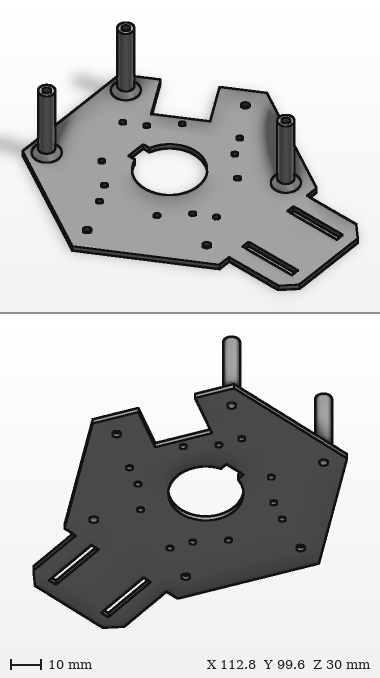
import cadquery as cq
import math

plate_thickness = 2.0
hexagon_width_y = 99.6
hexagon_radius = hexagon_width_y / 2
hexagon_apothem = hexagon_radius * math.cos(math.radians(30))

overall_length = 112.8
tab_end_x = overall_length - hexagon_apothem
tab_half_width = 20.0
tab_chamfer = 5.0
slot_end_x = tab_end_x - tab_chamfer
slot_length = slot_end_x - hexagon_apothem
slot_width = 3.0
slot_offset_y = 11.5

notch_side_angle = 30
notch_width = 20.0
notch_depth = 17.3
notch_shift = -1.1

bore_diameter = 25.0
key_reach = 14.8
key_width = 7.5

small_hole_diameter = 2.3
ring_radius = 23.0
ring_angles = [30, 60, 120, 150, 210, 240, 300, 330]
outer_small_radius = 28.1
outer_small_first_angle = 74.3

large_hole_diameter = 2.9
large_circle_radius = 40.5
large_circle_center_x = -1.5
large_hole_angles = [30, 90, 150, 210, 270, 330]
standoff_angles = [30, 150, 210]

overall_height = 30.0
standoff_diameter = 5.8
standoff_foot_diameter = 10.0
standoff_foot_height = 2.0


def polar(radius, angle, center_x=0.0):
    """Point on a circle whose centre lies on the X axis."""
    turn = math.radians(angle)
    return (center_x + radius * math.cos(turn), radius * math.sin(turn))


def large_hole_points(angles):
    return [polar(large_circle_radius, angle, large_circle_center_x) for angle in angles]


def plate_blank():
    hexagon = [polar(hexagon_radius, angle) for angle in range(30, 390, 60)]
    tab = [
        (0, -tab_half_width),
        (slot_end_x, -tab_half_width),
        (tab_end_x, tab_chamfer - tab_half_width),
        (tab_end_x, tab_half_width - tab_chamfer),
        (slot_end_x, tab_half_width),
        (0, tab_half_width),
    ]
    body = cq.Workplane("XY").polyline(hexagon).close().extrude(plate_thickness)
    return body.union(cq.Workplane("XY").polyline(tab).close().extrude(plate_thickness))


def notch():
    return (
        cq.Workplane("XY")
        .center(notch_shift, hexagon_apothem)
        .rect(notch_width, 2 * notch_depth)
        .extrude(plate_thickness)
        .rotate((0, 0, 0), (0, 0, 1), notch_side_angle)
    )


def tab_slots():
    return (
        cq.Workplane("XY")
        .pushPoints([(hexagon_apothem + slot_length / 2, side * slot_offset_y) for side in (-1, 1)])
        .rect(slot_length, slot_width)
        .extrude(plate_thickness)
    )


def keyed_bore():
    bore = cq.Workplane("XY").circle(bore_diameter / 2).extrude(plate_thickness)
    key = cq.Workplane("XY").center(-key_reach / 2, 0).rect(key_reach, key_width).extrude(plate_thickness)
    return bore.union(key)


def holes(points, diameter):
    return cq.Workplane("XY").pushPoints(points).circle(diameter / 2).extrude(overall_height)


def standoff(point):
    """Post with a conical foot, standing on the plate."""
    post_radius = standoff_diameter / 2
    profile = [
        (0, 0),
        (standoff_foot_diameter / 2, 0),
        (standoff_foot_diameter / 2, plate_thickness),
        (post_radius, plate_thickness + standoff_foot_height),
        (post_radius, overall_height),
        (0, overall_height),
    ]
    post = cq.Workplane("XZ").polyline(profile).close().revolve(360, (0, 0, 0), (0, 1, 0))
    return post.translate((point[0], point[1], 0))


small_hole_points = [polar(ring_radius, angle) for angle in ring_angles]
for quarter_turn in range(0, 360, 90):
    small_hole_points.append(polar(outer_small_radius, outer_small_first_angle + quarter_turn))

result = plate_blank().cut(notch()).cut(tab_slots()).cut(keyed_bore())
for standoff_point in large_hole_points(standoff_angles):
    result = result.union(standoff(standoff_point))
result = result.cut(holes(small_hole_points, small_hole_diameter))
result = result.cut(holes(large_hole_points(large_hole_angles), large_hole_diameter))